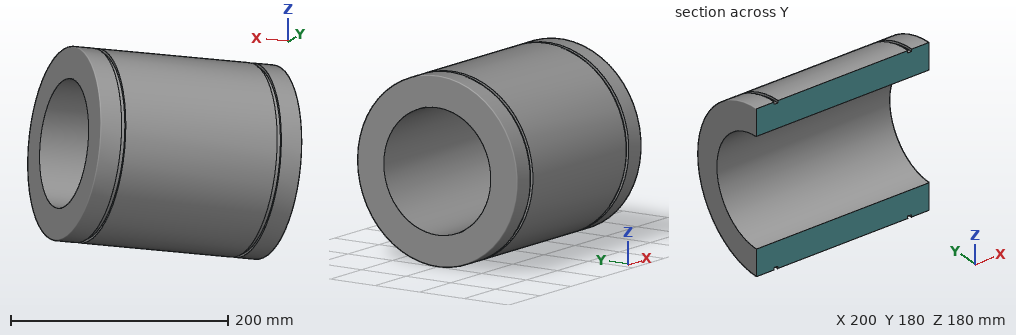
import cadquery as cq

length = 200.0
outer_diameter = 180.0
bore_diameter = 120.0
rim_radius = 1.0

groove_diameter = 175.0
groove_width = 4.2
groove_outer_wall = 20.5


def cylinder_along_x(diameter, start, span):
    return cq.Workplane("YZ", origin=(start, 0, 0)).circle(diameter / 2).extrude(span)


def ring_groove(start):
    blank = cylinder_along_x(outer_diameter, start, groove_width)
    return blank.cut(cylinder_along_x(groove_diameter, start, groove_width))


result = cylinder_along_x(outer_diameter, -length / 2, length)
result = result.faces("<X or >X").edges().fillet(rim_radius)

result = result.cut(cylinder_along_x(bore_diameter, -length / 2, length))

left_groove_start = -length / 2 + groove_outer_wall
right_groove_start = length / 2 - groove_outer_wall - groove_width
for groove_start in (left_groove_start, right_groove_start):
    result = result.cut(ring_groove(groove_start))